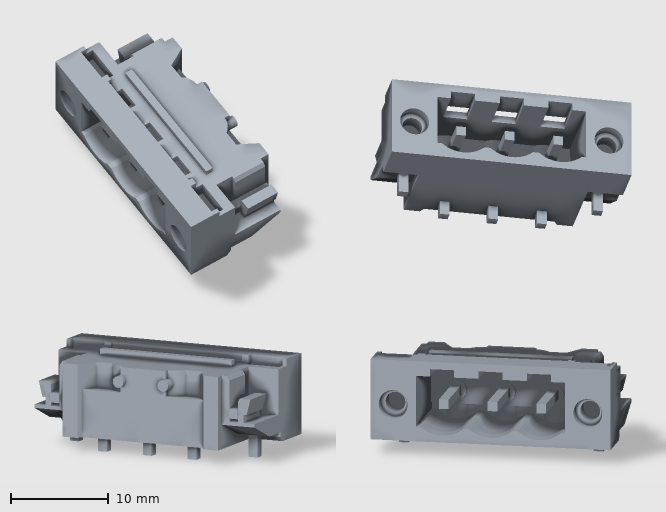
import cadquery as cq
import math


length = 25.05
depth = 12.0
overall_height = 9.95
front_height = 8.45
main_height = 7.65
front_strip_depth = 3.5
front_strip_relief_y = 3.1
core_half_width = 8.85
wing_back_y = 11.02

contact_count = 3
pitch = 5.08
pin_width = 1.0
pin_z = 3.78
pin_tail = overall_height - front_height
contact_tip_y = 1.05
contact_leg_y = 9.9
contact_xs = [(i - (contact_count - 1) / 2) * pitch for i in range(contact_count)]

cavity_half_width = 7.75
cavity_floor = 1.55
cavity_roof = 6.89
scallop_bottom = 0.73
scallop_half_width = 2.23
contact_wall_y = 7.9
groove_back_y = 8.26
contact_wall_bottom = 2.28
contact_wall_top = 5.73
post_axis_y = 9.52
post_top_radius = 1.63
post_bottom_radius = 1.7
collar_radius = 1.05
collar_length = 0.25
window_width = 2.5
window_back_y = 4.1

rib_half_length = 7.45
rib_front_y = 5.23
rib_width = 0.8
rib_top = 8.26
pocket_inner_x = 8.21
pocket_outer_x = 12.05
pocket_front_y = 2.83
pocket_width = 1.45
pocket_floor = 6.0

relief_floor = 5.0
relief_back_half_width = 7.15
relief_front_half_width = 5.98
relief_front_y = 9.92
rear_face_y = 11.4
stud_x = pitch / 2
stud_z = 6.2
stud_radius = 0.6
stud_root_y = 10.02
boss_radius = 2.0
boss_back_y = 10.77

flange_x = 2 * pitch
shelf_z = 2.9
leg_bay_front_y = 5.4
leg_bay_inner_x = 9.1
grip_front_y = 7.34
wing_tip_bottom = 2.53
wing_bottom = 1.0
wing_slope_y = 7.5
wing_step_y = 4.9
wing_step_z = 0.53
wing_chamfer_y = 4.4
grip_chamfer_width = 0.3
grip_chamfer_height = 0.45
screw_radius = 1.03
screw_counterbore_radius = 1.5
screw_counterbore_depth = 1.25
screw_depth = 2.83
clip_outer_x = 12.05
clip_top = 5.4
clip_hook_z = 3.75
clip_hook_x = 11.62
clip_stem_x = 11.3
clip_lead_in_width = 0.18
clip_lead_in_height = 0.25

flange_leg_front_y = 5.5
flange_arm_end_y = 11.2


def block(x0, x1, y0, y1, z0, z1):
    """Box between two opposite corners."""
    return cq.Workplane("XY").box(x1 - x0, y1 - y0, z1 - z0, centered=False).translate((x0, y0, z0))


def cylinder_y(x, z, radius, y0, y1):
    """Cylinder whose axis runs along Y."""
    return cq.Workplane("XZ", origin=(x, y0, z)).circle(radius).extrude(y0 - y1)


def both_sides(shape):
    """The shape together with its mirror image in the plane x = 0."""
    return shape.union(shape.mirror("YZ"))


def l_pin(x, y0, y1, leg_y):
    """Square wire: an arm along Y at pin height and a leg going down to the board."""
    half = pin_width / 2
    arm = block(x - half, x + half, y0, y1, pin_z - half, pin_z + half)
    leg = block(x - half, x + half, leg_y - half, leg_y + half, -pin_tail, pin_z)
    return arm.union(leg)


def contact_pin(x):
    """Contact that reaches into the plug cavity, with its leg at the rear end."""
    return l_pin(x, contact_tip_y, contact_leg_y + pin_width / 2, contact_leg_y)


def flange_pin(x):
    """Anchor pin gripped by a clip, with its leg at the front end."""
    return l_pin(x, flange_leg_front_y, flange_arm_end_y, flange_leg_front_y + pin_width / 2)


def outer_shell():
    """Core, wings with their stepped underside, and the raised front strip."""
    core = block(-core_half_width, core_half_width, 0, depth, 0, main_height)
    wings = (
        cq.Workplane("YZ", origin=(-length / 2, 0, 0))
        .polyline([
            (0, 0),
            (wing_chamfer_y, 0),
            (wing_step_y, wing_step_z),
            (wing_step_y, wing_bottom),
            (wing_slope_y, wing_bottom),
            (wing_back_y, wing_tip_bottom),
            (wing_back_y, main_height),
            (0, main_height),
        ])
        .close()
        .extrude(length)
    )
    strip = block(-length / 2, length / 2, 0, front_strip_depth, main_height, front_height)
    strip_relief = block(
        -rib_half_length, rib_half_length, front_strip_relief_y, front_strip_depth, main_height, front_height
    )
    strip = strip.cut(strip_relief)
    rib = block(-rib_half_length, rib_half_length, rib_front_y, rib_front_y + rib_width, main_height, rib_top)
    return core.union(wings).union(strip).union(rib)


def plug_cavity():
    """Opening for the plug, with a scalloped floor, roof windows and two grooves at the back."""
    sag = cavity_floor - scallop_bottom
    scallop_radius = (scallop_half_width**2 + sag**2) / (2 * sag)
    cavity = block(-cavity_half_width, cavity_half_width, 0, groove_back_y, cavity_floor, cavity_roof)
    contact_wall = block(
        -cavity_half_width, cavity_half_width,
        contact_wall_y, groove_back_y,
        contact_wall_bottom, contact_wall_top,
    )
    cavity = cavity.cut(contact_wall)
    for x in contact_xs:
        scallop = (
            cq.Workplane("XZ")
            .moveTo(x - scallop_half_width, cavity_floor)
            .radiusArc((x + scallop_half_width, cavity_floor), -scallop_radius)
            .close()
            .extrude(-groove_back_y)
        )
        window = block(x - window_width / 2, x + window_width / 2, 0, window_back_y, pin_z, main_height)
        cavity = cavity.union(scallop).union(window)
    return cavity


def contact_posts():
    """Tapered round posts, partly sunk in the back of the cavity, and the collars around the contacts."""
    posts = cq.Workplane("XY")
    for x in contact_xs:
        post = (
            cq.Workplane("XY", origin=(x, post_axis_y, scallop_bottom))
            .circle(post_bottom_radius)
            .workplane(offset=cavity_roof - scallop_bottom)
            .circle(post_top_radius)
            .loft()
        )
        collar = cylinder_y(x, pin_z, collar_radius, contact_wall_y - collar_length, groove_back_y)
        posts = posts.union(post).union(collar)
    return posts


def rear_relief():
    """Space between the end cheeks: shaped around the studs above its floor, plain below."""
    diagonal = boss_radius * math.sqrt(0.5)
    boss_y = boss_back_y - boss_radius
    boss_start_x = stud_x + math.sqrt(boss_radius**2 - (relief_front_y - boss_y) ** 2)
    half = (
        cq.Workplane("XY", origin=(0, 0, relief_floor))
        .moveTo(0, depth)
        .lineTo(relief_back_half_width, depth)
        .lineTo(relief_front_half_width, relief_front_y)
        .lineTo(boss_start_x, relief_front_y)
        .threePointArc((stud_x + diagonal, boss_y + diagonal), (stud_x, boss_back_y))
        .lineTo(stud_x, rear_face_y)
        .lineTo(0, rear_face_y)
        .close()
        .extrude(main_height - relief_floor)
    )
    side_slope = (relief_back_half_width - relief_front_half_width) / (depth - relief_front_y)
    face_half_width = relief_back_half_width - side_slope * (depth - rear_face_y)
    lower = (
        cq.Workplane("XY")
        .polyline([
            (-relief_back_half_width, depth),
            (relief_back_half_width, depth),
            (face_half_width, rear_face_y),
            (-face_half_width, rear_face_y),
        ])
        .close()
        .extrude(relief_floor)
    )
    return both_sides(half).union(lower)


def flange_bay():
    """Open space above the right-hand shelf, for the flange pin and the clip."""
    grip_x = flange_x - pin_width / 2
    leg_bay = block(leg_bay_inner_x, length / 2, leg_bay_front_y, grip_front_y, shelf_z, main_height)
    clip_bay = (
        cq.Workplane("XZ", origin=(0, grip_front_y, 0))
        .polyline([
            (grip_x, shelf_z),
            (length / 2, shelf_z),
            (length / 2, main_height),
            (grip_x - grip_chamfer_width, main_height),
            (grip_x, main_height - grip_chamfer_height),
        ])
        .close()
        .extrude(grip_front_y - wing_back_y)
    )
    return leg_bay.union(clip_bay)


def clip():
    """Hooked clip on the right-hand shelf that holds the flange pin from outside."""
    inner_x = flange_x + pin_width / 2
    return (
        cq.Workplane("XZ", origin=(0, grip_front_y, 0))
        .polyline([
            (inner_x, shelf_z),
            (clip_stem_x, shelf_z),
            (clip_stem_x, clip_hook_z),
            (clip_hook_x, clip_hook_z),
            (clip_outer_x, clip_top),
            (inner_x + clip_lead_in_width, clip_top),
            (inner_x, clip_top - clip_lead_in_height),
        ])
        .close()
        .extrude(grip_front_y - wing_back_y)
    )


def screw_hole():
    """Counterbored blind hole in the right-hand flange."""
    bore = cylinder_y(flange_x, pin_z, screw_radius, 0, screw_depth)
    return bore.union(cylinder_y(flange_x, pin_z, screw_counterbore_radius, 0, screw_counterbore_depth))


def top_pocket():
    """Slot in the top of the right-hand flange."""
    return block(
        pocket_inner_x, pocket_outer_x,
        pocket_front_y, pocket_front_y + pocket_width,
        pocket_floor, front_height,
    )


def make_housing(pins):
    """Moulded housing with a matching hole for each pin."""
    body = outer_shell()
    body = body.cut(plug_cavity())
    body = body.union(contact_posts())
    body = body.cut(rear_relief())
    for sign in (-1, 1):
        body = body.union(cylinder_y(sign * stud_x, stud_z, stud_radius, stud_root_y, depth))
    body = body.cut(both_sides(flange_bay()))
    body = body.union(both_sides(clip()))
    body = body.cut(both_sides(screw_hole()))
    body = body.cut(both_sides(top_pocket()))
    for pin in pins:
        body = body.cut(pin)
    return body


contact_pins = [contact_pin(x) for x in contact_xs]
flange_pins = [flange_pin(x) for x in (-flange_x, flange_x)]
housing = make_housing(contact_pins + flange_pins)

result = cq.Compound.makeCompound(
    [housing.solids().val(), *[pin.val() for pin in contact_pins], *[pin.val() for pin in flange_pins]]
)